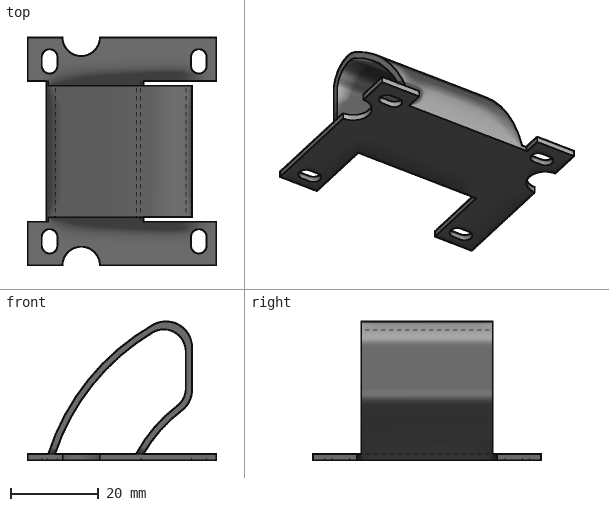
import cadquery as cq
import math

THICKNESS = 1.5
PLATE_LENGTH = 43.0
PLATE_WIDTH = 52.0
FLANGE_WIDTH = 10.0
BRIDGE_WIDTH = PLATE_WIDTH - 2 * FLANGE_WIDTH

SLOT_X_POSITIONS = (5.0, 39.0)
SLOT_Y = 20.5
SLOT_LENGTH = 5.5
SLOT_WIDTH = 3.5
NOTCH_X = 12.2
NOTCH_RADIUS = 4.25

STRAP_WIDTH = 30.0
ARC_CENTER_X = 54.6
ARC_CENTER_Z = -14.6
FRONT_OUTER_RADIUS = 52.45
LEG_OUTER_RADIUS = 32.45
WALL_OUTER_X = 37.5
OUTER_BEND_RADIUS = 6.0
INNER_BEND_RADIUS = 5.0


def point_on_circle(center, radius, angle):
    return (center[0] + radius * math.cos(angle), center[1] + radius * math.sin(angle))


def angle_between(start, end):
    return math.atan2(end[1] - start[1], end[0] - start[0])


def loop_region(front_radius, leg_radius, wall_x, bend_radius, width):
    """Solid bounded by front arc, top bend, upright wall, lower bend, rear leg arc and Z = 0."""
    arc_center = (ARC_CENTER_X, ARC_CENTER_Z)
    bend_x = wall_x - bend_radius
    bend_run = ARC_CENTER_X - bend_x

    top_rise = math.sqrt((front_radius - bend_radius) ** 2 - bend_run**2)
    low_rise = math.sqrt((leg_radius + bend_radius) ** 2 - bend_run**2)
    top_center = (bend_x, ARC_CENTER_Z + top_rise)
    low_center = (bend_x, ARC_CENTER_Z + low_rise)
    top_angle = angle_between(arc_center, top_center)
    low_angle = angle_between(arc_center, low_center)

    front_foot_angle = math.pi - math.asin(-ARC_CENTER_Z / front_radius)
    leg_foot_angle = math.pi - math.asin(-ARC_CENTER_Z / leg_radius)

    return (
        cq.Workplane("XZ")
        .moveTo(*point_on_circle(arc_center, front_radius, front_foot_angle))
        .threePointArc(
            point_on_circle(arc_center, front_radius, (front_foot_angle + top_angle) / 2),
            point_on_circle(arc_center, front_radius, top_angle),
        )
        .threePointArc(
            point_on_circle(top_center, bend_radius, top_angle / 2),
            (wall_x, top_center[1]),
        )
        .lineTo(wall_x, low_center[1])
        .threePointArc(
            point_on_circle(low_center, bend_radius, (low_angle - math.pi) / 2),
            point_on_circle(low_center, bend_radius, low_angle - math.pi),
        )
        .threePointArc(
            point_on_circle(arc_center, leg_radius, (low_angle + leg_foot_angle) / 2),
            point_on_circle(arc_center, leg_radius, leg_foot_angle),
        )
        .close()
        .extrude(width / 2, both=True)
    )


def outer_region(width):
    return loop_region(
        FRONT_OUTER_RADIUS, LEG_OUTER_RADIUS, WALL_OUTER_X, OUTER_BEND_RADIUS, width
    )


def make_strap():
    opening = loop_region(
        FRONT_OUTER_RADIUS - THICKNESS,
        LEG_OUTER_RADIUS + THICKNESS,
        WALL_OUTER_X - THICKNESS,
        INNER_BEND_RADIUS,
        STRAP_WIDTH,
    )
    return outer_region(STRAP_WIDTH).cut(opening)


def make_plate_blank(width):
    return cq.Workplane("XY").box(PLATE_LENGTH, width, THICKNESS, centered=(False, True, False))


def make_base():
    """Two flanges joined by a bridge whose ends follow the outer faces of the strap."""
    flanges = make_plate_blank(PLATE_WIDTH).cut(make_plate_blank(BRIDGE_WIDTH))
    bridge = outer_region(BRIDGE_WIDTH).intersect(make_plate_blank(BRIDGE_WIDTH))
    return flanges.union(bridge)


def make_slots():
    slot_centers = [(x, side * SLOT_Y) for x in SLOT_X_POSITIONS for side in (-1, 1)]
    return (
        cq.Workplane("XY")
        .pushPoints(slot_centers)
        .slot2D(SLOT_LENGTH, SLOT_WIDTH, 90)
        .extrude(THICKNESS)
    )


def make_notches():
    notch_centers = [(NOTCH_X, side * PLATE_WIDTH / 2) for side in (-1, 1)]
    return cq.Workplane("XY").pushPoints(notch_centers).circle(NOTCH_RADIUS).extrude(THICKNESS)


base = make_base().cut(make_slots()).cut(make_notches())
result = base.union(make_strap())